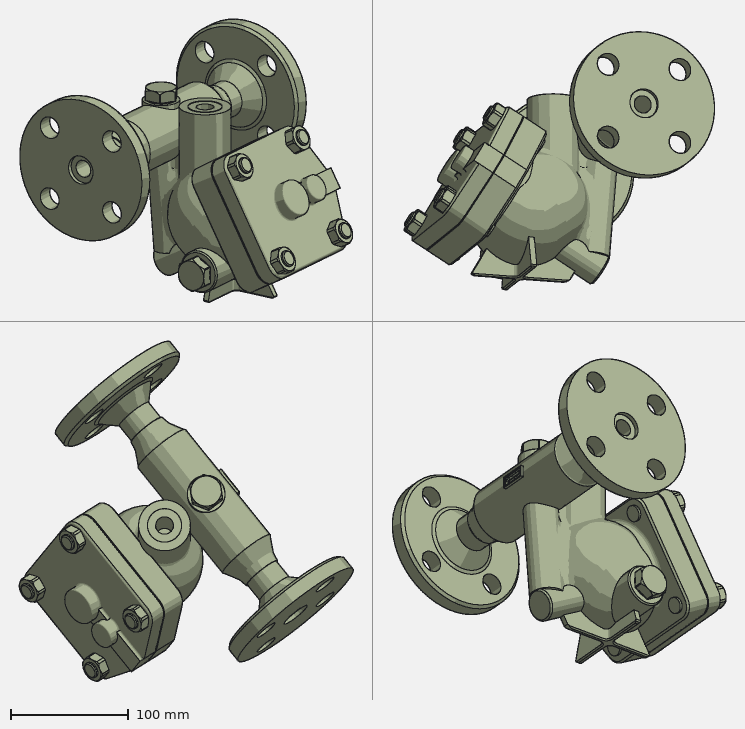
import cadquery as cq
import math

half_length = 125.0
flange_diameter = 125.0
flange_thickness = 14.5
flange_edge_chamfer = 2.5
flange_hole_diameter = 19.0
flange_hole_circle = 90.0
hub_base_diameter = 63.0
hub_flare = 3.0
hub_flare_length = 1.5
hub_end = 96.2
neck_diameter = 32.0
neck_end = 79.0
taper_small_diameter = 34.0
taper_middle_diameter = 37.0
taper_middle = 71.2
barrel_diameter = 52.0
barrel_chamfer = 1.0
barrel_half_length = 59.0
bore_diameter = 15.0
bore_depth = 50.0
socket_diameter = 25.0
socket_depth = 4.0

plug_across_flats = 26.0
plug_head_height = 10.0
plug_chamfer = 1.8
plug_groove_diameter = 25.0
plug_groove_height = 1.2
top_plug_boss_diameter = 32.0
top_plug_boss_top = 27.0
top_plug_x = -2.0
side_plug_boss_diameter = 37.0
side_plug_boss_end = 54.8
side_plug_boss_chamfer = 1.2
side_plug_x = 73.0
side_plug_z = -97.8

plate_length = 25.0
plate_height = 10.5
plate_rise = 2.0
plate_rim = 1.2
plate_recess = 1.0
arrow_tip = 9.8
arrow_head_base = 5.5
arrow_tail = -9.5
arrow_head_half_width = 2.8
arrow_shaft_half_width = 1.2

outlet_x = 43.0
outlet_top = 29.5
outlet_length = 90.0
outlet_diameter = 44.0
outlet_seat_diameter = 29.0
outlet_seat_depth = 0.5
outlet_fillet = 4.8

tilt = 30.0
axis_offset = 97.8
chamber_radius = 46.0
chamber_center = 24.8
chamber_rise = 12.5
chamber_setback = 4.8
neck_rise = 7.5
neck_fillet = 4.8
cover_back = 48.5
cover_joint = 72.8
cover_front = 89.5
cover_half_width = 57.5
cover_corner_radius = 14.0
cover_shoulder = 53.0
cover_peak = 70.0
cover_peak_half_width = 9.5
cover_chamfer = 1.8
joint_gap = 0.8
joint_depth = 1.0

bolt_spacing = 87.0
stud_diameter = 14.0
stud_back = 46.2
stud_front = 101.0
stud_chamfer = 1.0
nut_across_flats = 21.0
nut_height = 9.0
nut_chamfer = 1.0
nut_turns = {(1, 1): 30, (1, -1): 0, (-1, 1): 5, (-1, -1): 15}

center_boss_diameter = 32.0
center_boss_top = 101.2
upper_boss_diameter = 23.0
upper_boss_y = 31.5
upper_boss_top = 101.2
boss_edge_fillet = 1.2
boss_base_fillet = 2.0
cover_rib_width = 19.0
cover_rib_rise = 3.5

leg_diameter = 30.0
leg_tilt = 4.7
leg_length = 105.0
leg_fillet = 8.5
strainer_diameter = 28.0
strainer_start = -57.8
strainer_drop = 4.0
strainer_chamfer = 1.5

foot_bottom = -129.0
foot_top = -97.5
foot_thickness = 5.0
foot_center_x = side_plug_x
foot_half_length = 43.2
cross_foot_half_length = 44.0
cross_foot_slope = 0.29
foot_corner_chamfer = 2.5
foot_fillet = 4.8
foot_edge_chamfer = 1.2

pick = 0.2

slope = math.radians(tilt)
tilted = cq.Plane(
    origin=(axis_offset * math.sin(slope), 0, -axis_offset * math.cos(slope)),
    xDir=(0, 1, 0),
    normal=(math.cos(slope), 0, math.sin(slope)),
)


def local(height):
    """Workplane at this height along the chamber axis, in the local frame."""
    return cq.Workplane("XY", origin=(0, 0, height))


def placed(body):
    """Moves a body from the local frame to its place on the part."""
    return cq.Workplane(body.val().moved(cq.Location(tilted)))


def hexagon_head(across_flats, height, chamfer, turn):
    """Upright hexagon prism whose top corners are cut back by a cone."""
    corner_diameter = across_flats / math.cos(math.pi / 6)
    prism = cq.Workplane("XY").polygon(6, corner_diameter).extrude(height).rotate((0, 0, 0), (0, 0, 1), turn)
    blank = cq.Workplane("XY").circle(across_flats / 2 + chamfer).extrude(height).faces(">Z").chamfer(chamfer)
    return prism.intersect(blank)


def plug(turn):
    """Upright hexagon plug on a short groove neck."""
    neck = cq.Workplane("XY").circle(plug_groove_diameter / 2).extrude(plug_groove_height)
    head = hexagon_head(plug_across_flats, plug_head_height, plug_chamfer, turn)
    return neck.union(head.translate((0, 0, plug_groove_height)))


def pipe():
    """Flanged pipe turned about Y, with the boss of the top plug."""
    face = half_length - flange_thickness
    half_profile = [
        (flange_diameter / 2, half_length),
        (flange_diameter / 2, face + flange_edge_chamfer),
        (flange_diameter / 2 - flange_edge_chamfer, face),
        (hub_base_diameter / 2, face),
        (hub_base_diameter / 2 - hub_flare, face - hub_flare_length),
        (neck_diameter / 2, hub_end),
        (neck_diameter / 2, neck_end),
        (taper_small_diameter / 2, neck_end),
        (taper_middle_diameter / 2, taper_middle),
        (barrel_diameter / 2 - barrel_chamfer, barrel_half_length),
        (barrel_diameter / 2, barrel_half_length - barrel_chamfer),
    ]
    mirrored = [(radius, -along) for radius, along in reversed(half_profile)]
    outline = [(0, half_length)] + half_profile + mirrored + [(0, -half_length)]
    turned = cq.Workplane("XY").polyline(outline).close().revolve(360, (0, 0, 0), (0, 1, 0))
    top_boss = cq.Workplane("XY").center(top_plug_x, 0).circle(top_plug_boss_diameter / 2).extrude(top_plug_boss_top)
    return turned.union(top_boss)


def pipe_holes():
    """Stepped bore and bolt holes of both flanges."""
    cuts = cq.Workplane("XZ")
    for side in (-1, 1):
        outer = cq.Workplane("XZ", origin=(0, side * half_length, 0))
        cuts = cuts.add(outer.circle(bore_diameter / 2).extrude(side * bore_depth))
        cuts = cuts.add(outer.circle(socket_diameter / 2).extrude(side * socket_depth))
        cuts = cuts.add(
            outer.polarArray(flange_hole_circle / 2, 45, 360, 4)
            .circle(flange_hole_diameter / 2)
            .extrude(side * flange_thickness)
        )
    return cuts.combine()


def arrow_plate():
    """Small plate on the -X side of the pipe, with a raised arrow in its recess."""
    start = cq.Workplane("YZ", origin=(-barrel_diameter / 2 - plate_rise, 0, 0))
    plate = start.rect(plate_length, plate_height).extrude(2 * plate_rise)
    recess = start.rect(plate_length - 2 * plate_rim, plate_height - 2 * plate_rim).extrude(plate_recess)
    arrow = (
        start.polyline([
            (arrow_tip, 0),
            (arrow_head_base, arrow_head_half_width),
            (arrow_head_base, arrow_shaft_half_width),
            (arrow_tail, arrow_shaft_half_width),
            (arrow_tail, -arrow_shaft_half_width),
            (arrow_head_base, -arrow_shaft_half_width),
            (arrow_head_base, -arrow_head_half_width),
        ])
        .close()
        .extrude(plate_recess)
    )
    return plate.cut(recess).union(arrow)


def outlet_boss():
    return (
        cq.Workplane("XY", origin=(outlet_x, 0, outlet_top))
        .circle(outlet_diameter / 2)
        .extrude(-outlet_length)
    )


def outlet_hole():
    top = cq.Workplane("XY", origin=(outlet_x, 0, outlet_top))
    seat = top.circle(outlet_seat_diameter / 2).extrude(-outlet_seat_depth)
    return top.circle(bore_diameter / 2).extrude(-bore_depth).union(seat)


def chamber():
    """Round-ended body, leaning back a little towards its upper end."""
    lower = cq.Solid.makeSphere(chamber_radius, cq.Vector(0, 0, chamber_center), angleDegrees1=-90)
    upper = lower.translate(cq.Vector(0, chamber_rise, -chamber_setback))
    middle = cq.Solid.makeCylinder(
        chamber_radius,
        math.hypot(chamber_rise, chamber_setback),
        cq.Vector(0, 0, chamber_center),
        cq.Vector(0, chamber_rise, -chamber_setback),
    )
    return cq.Workplane(lower).union(cq.Workplane(middle)).union(cq.Workplane(upper))


def cover_slab(start, end, inset=0.0):
    """Slab with the cover outline: a square with rounded corners and a peaked +Y side."""
    half = cover_half_width - inset
    shoulder = cover_shoulder - inset
    peak = cover_peak - inset
    points = [
        (-half, -half),
        (shoulder, -half),
        (peak, -cover_peak_half_width),
        (peak, cover_peak_half_width),
        (shoulder, half),
        (-half, half),
    ]
    slab = local(start).polyline(points).close().extrude(end - start)
    four_corners = cq.selectors.BoxSelector((-half - 2.5, -half - 2.5, start), (shoulder + 2.5, half + 2.5, end))
    return slab.edges("|Z").edges(four_corners).fillet(cover_corner_radius - inset)


def back_flange():
    """Chamber flange with the filleted neck that joins it to the chamber."""
    neck_start = cover_back - neck_fillet
    neck_radius = math.sqrt(chamber_radius**2 - (neck_start - chamber_center) ** 2)
    neck = (
        local(chamber_center)
        .center(0, neck_rise / 2)
        .slot2D(neck_rise + 2 * neck_radius, 2 * neck_radius, 90)
        .extrude(cover_back - chamber_center)
    )
    flange = cover_slab(cover_back, cover_joint).faces("<Z").chamfer(cover_chamfer)
    joint_edges = cq.selectors.BoxSelector((-47.5, -51.2, cover_back - pick), (47.5, 51.2, cover_back + pick))
    return flange.union(neck).edges(joint_edges).fillet(neck_fillet)


def cover():
    """Cover with its recessed gasket, two round bosses and the rib that joins them to the peak."""
    flange = cover_slab(cover_joint + joint_gap, cover_front).faces(">Z").chamfer(cover_chamfer)
    gasket = cover_slab(cover_joint, cover_joint + joint_gap, joint_depth)
    rib_start = cover_joint + cover_chamfer
    rib = (
        local(rib_start)
        .center(cover_peak / 2, 0)
        .rect(cover_peak, cover_rib_width)
        .extrude(cover_front + cover_rib_rise - rib_start)
    )
    center = local(cover_front).circle(center_boss_diameter / 2).extrude(center_boss_top - cover_front)
    upper = (
        local(cover_front)
        .center(upper_boss_y, 0)
        .circle(upper_boss_diameter / 2)
        .extrude(upper_boss_top - cover_front)
    )
    bosses = center.union(upper).faces(">Z").edges().fillet(boss_edge_fillet)
    base_edges = cq.selectors.BoxSelector(
        (-center_boss_diameter, -center_boss_diameter, cover_front - pick),
        (cover_peak - 2 * cover_chamfer, center_boss_diameter, cover_front + pick),
    )
    raised = flange.union(rib).union(bosses).edges(base_edges).fillet(boss_base_fillet)
    return raised.union(gasket)


def bolts():
    """Four studs with their nuts."""
    stud = (
        local(stud_back)
        .circle(stud_diameter / 2)
        .extrude(stud_front - stud_back)
        .faces(">Z")
        .chamfer(stud_chamfer)
    )
    pitch = bolt_spacing / 2
    all_bolts = cq.Workplane("XY")
    for (along, up), turn in nut_turns.items():
        nut = hexagon_head(nut_across_flats, nut_height, nut_chamfer, turn + 90).translate((0, 0, cover_front))
        all_bolts = all_bolts.union(stud.union(nut).translate((along * pitch, up * pitch, 0)))
    return all_bolts


def strainer_tube():
    return (
        local(strainer_start)
        .center(0, -strainer_drop)
        .circle(strainer_diameter / 2)
        .extrude(chamber_center - strainer_start)
        .faces("<Z")
        .chamfer(strainer_chamfer)
    )


def strainer_leg():
    lean = math.radians(leg_tilt)
    down = (math.sin(lean), 0, -math.cos(lean))
    return cq.Workplane(cq.Plane((0, 0, 0), (0, 1, 0), down)).circle(leg_diameter / 2).extrude(leg_length)


def side_plug_boss():
    return (
        cq.Workplane("XZ", origin=(side_plug_x, 0, side_plug_z))
        .circle(side_plug_boss_diameter / 2)
        .extrude(side_plug_boss_end)
        .faces("<Y")
        .chamfer(side_plug_boss_chamfer)
    )


def foot():
    """Two crossed plates, filleted where they meet."""
    height = foot_top - foot_bottom
    lean = height * math.tan(slope)
    left = foot_center_x - foot_half_length
    right = foot_center_x + foot_half_length
    long_plate = (
        cq.Workplane("XZ", origin=(0, foot_thickness / 2, 0))
        .polyline([(left, foot_bottom), (right, foot_bottom), (right - lean, foot_top), (left - lean, foot_top)])
        .close()
        .extrude(foot_thickness)
        .edges("|Y and <Z")
        .chamfer(foot_corner_chamfer)
    )
    narrow = cross_foot_half_length - cross_foot_slope * height
    cross_plate = (
        cq.Workplane("YZ", origin=(foot_center_x - foot_thickness / 2, 0, 0))
        .polyline([
            (-cross_foot_half_length, foot_bottom),
            (cross_foot_half_length, foot_bottom),
            (narrow, foot_top),
            (-narrow, foot_top),
        ])
        .close()
        .extrude(foot_thickness)
        .edges("|X and <Z")
        .chamfer(foot_corner_chamfer)
    )
    plates = long_plate.union(cross_plate)
    inner_corners = cq.selectors.BoxSelector(
        (foot_center_x - foot_thickness, -foot_thickness, 2 * foot_bottom),
        (foot_center_x + foot_thickness, foot_thickness, 0),
    )
    return plates.edges("|Z").edges(inner_corners).fillet(foot_fillet).faces("<Z").chamfer(foot_edge_chamfer)


def body():
    """Chamber with the strainer leg and the outlet boss filleted into it."""
    leg_joint = cq.selectors.BoxSelector((12.5, -5, -80), (25, 5, -50))
    outlet_joint = cq.selectors.BoxSelector((20, -20, -40), (50, 20, -15))
    with_leg = placed(chamber()).union(strainer_leg()).edges(leg_joint).fillet(leg_fillet)
    return with_leg.union(outlet_boss()).edges(outlet_joint).fillet(outlet_fillet)


top_plug = plug(0).translate((top_plug_x, 0, top_plug_boss_top))
side_plug = plug(30).rotate((0, 0, 0), (1, 0, 0), 90).translate((side_plug_x, -side_plug_boss_end, side_plug_z))

result = (
    body()
    .union(pipe())
    .union(placed(strainer_tube()))
    .union(foot())
    .union(side_plug_boss())
    .union(placed(back_flange()))
    .union(placed(cover()))
    .union(placed(bolts()))
    .union(top_plug)
    .union(side_plug)
    .union(arrow_plate())
    .cut(pipe_holes())
    .cut(outlet_hole())
)